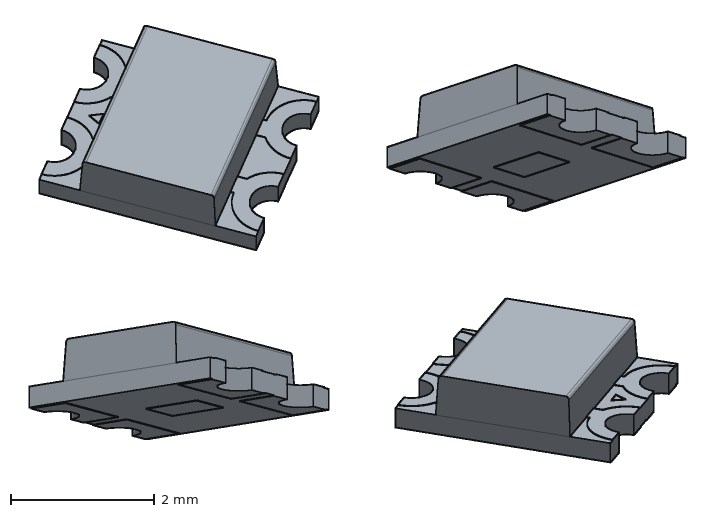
import cadquery as cq

BOARD_LENGTH = 3.2
BOARD_WIDTH = 2.7
BOARD_THICKNESS = 0.3
COPPER_THICKNESS = 0.01

NOTCH_PITCH = 1.4
NOTCH_RADIUS = 0.3
RING_RADIUS = 0.55
TRACE_WIDTH = 0.3
TRACE_OVERLAP = 0.05

BLOCK_LENGTH = 2.0
BLOCK_WIDTH = BOARD_WIDTH
TOTAL_HEIGHT = 0.91
BLOCK_DRAFT_ANGLE = 3.0
BLOCK_EDGE_RADIUS = 0.05

PAD_LENGTH = 0.6
PAD_WIDTH = 1.2
BOTTOM_MARK_LENGTH = 0.9
BOTTOM_MARK_WIDTH = 0.6
BOTTOM_MARK_CENTER_X = 0.1

TOP_MARK_TIP_X = -1.32
TOP_MARK_LENGTH = 0.18
TOP_MARK_WIDTH = 0.19
TOP_MARK_CENTER_Y = -0.02

BOARD_BOTTOM_Z = COPPER_THICKNESS
BOARD_TOP_Z = BOARD_BOTTOM_Z + BOARD_THICKNESS
BLOCK_HEIGHT = TOTAL_HEIGHT - BOARD_TOP_Z

END_X = BOARD_LENGTH / 2
NOTCH_Y = NOTCH_PITCH / 2
SIDES = (-1, 1)
NOTCH_CENTERS = [(sx * END_X, sy * NOTCH_Y) for sx in SIDES for sy in SIDES]


def plate(length, width, thickness, x, y, z):
    """Rectangular plate centred on (x, y) with its underside at z."""
    return cq.Workplane("XY", origin=(x, y, z)).rect(length, width).extrude(thickness)


def make_board():
    return plate(BOARD_LENGTH, BOARD_WIDTH, BOARD_THICKNESS, 0, 0, BOARD_BOTTOM_Z)


def make_block():
    """Drafted block, rounded along its two long top edges."""
    base = cq.Workplane("XY", origin=(0, 0, BOARD_TOP_Z)).rect(BLOCK_LENGTH, BLOCK_WIDTH)
    block = base.extrude(BLOCK_HEIGHT, taper=BLOCK_DRAFT_ANGLE)
    return block.faces(">Z").edges("|Y").fillet(BLOCK_EDGE_RADIUS)


def make_top_copper():
    """Rings around the notches, each with a trace leading under the block."""
    rings = (
        cq.Workplane("XY", origin=(0, 0, BOARD_TOP_Z))
        .pushPoints(NOTCH_CENTERS)
        .circle(RING_RADIUS)
        .extrude(COPPER_THICKNESS)
    )
    board_area = plate(BOARD_LENGTH, BOARD_WIDTH, COPPER_THICKNESS, 0, 0, BOARD_TOP_Z)
    copper = rings.intersect(board_area)
    trace_length = END_X - BLOCK_LENGTH / 2 + TRACE_OVERLAP
    trace_x = END_X - trace_length / 2
    trace_y = NOTCH_Y - TRACE_WIDTH / 2
    for sx in SIDES:
        for sy in SIDES:
            x, y = sx * trace_x, sy * trace_y
            trace = plate(trace_length, TRACE_WIDTH, COPPER_THICKNESS, x, y, BOARD_TOP_Z)
            copper = copper.union(trace)
    return copper


def make_top_mark():
    base_x = TOP_MARK_TIP_X + TOP_MARK_LENGTH
    return (
        cq.Workplane("XY", origin=(0, 0, BOARD_TOP_Z))
        .moveTo(TOP_MARK_TIP_X, TOP_MARK_CENTER_Y)
        .lineTo(base_x, TOP_MARK_CENTER_Y - TOP_MARK_WIDTH / 2)
        .lineTo(base_x, TOP_MARK_CENTER_Y + TOP_MARK_WIDTH / 2)
        .close()
        .extrude(COPPER_THICKNESS)
    )


def make_bottom_copper():
    """One solder pad under each notch and a polarity mark between them."""
    copper = plate(BOTTOM_MARK_LENGTH, BOTTOM_MARK_WIDTH, COPPER_THICKNESS, BOTTOM_MARK_CENTER_X, 0, 0)
    pad_x = END_X - PAD_LENGTH / 2
    for sx in SIDES:
        for sy in SIDES:
            pad = plate(PAD_LENGTH, PAD_WIDTH, COPPER_THICKNESS, sx * pad_x, sy * NOTCH_Y, 0)
            copper = copper.union(pad)
    return copper


def make_notches():
    cutter_height = BOARD_TOP_Z + COPPER_THICKNESS
    return cq.Workplane("XY").pushPoints(NOTCH_CENTERS).circle(NOTCH_RADIUS).extrude(cutter_height)


result = (
    make_board()
    .union(make_top_copper())
    .union(make_top_mark())
    .union(make_bottom_copper())
    .union(make_block())
    .cut(make_notches())
)